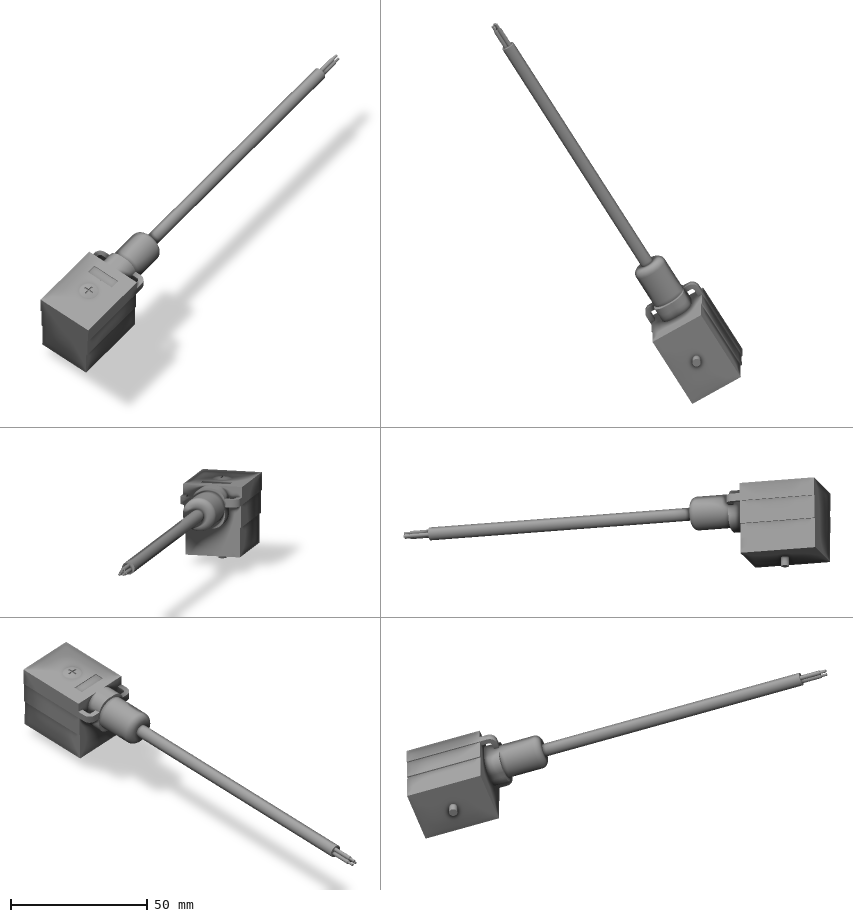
import cadquery as cq
import math


HOUSING_LENGTH = 28.5
HOUSING_TOP = 26.5
FRONT_DRAFT = 0.2
LOWER_WIDTH = 20.7
LOWER_TOP = 11.2
MIDDLE_WIDTH = 21.7
MIDDLE_TOP = 19.8
UPPER_WIDTH = 22.5

LABEL_WIDTH = 11.2
LABEL_LENGTH = 3.7
LABEL_CENTER_Y = 22.8
LABEL_DEPTH = 0.3

SCREW_Y = 14.4
SCREW_HEAD_DIAMETER = 7.3
SCREW_HEAD_RISE = 0.6
CROSS_LENGTH = 3.8
CROSS_WIDTH = 0.6
CROSS_DEPTH = SCREW_HEAD_RISE
SCREW_TIP_DIAMETER = 3.0
SCREW_TIP_LENGTH = 3.3

CABLE_AXIS_Z = 19.3
GLAND_DIAMETER = 12.5
GLAND_END_Y = 49.8
GLAND_FILLET = 2.4
COLLAR_END_Y = 34.3
COLLAR_BOTTOM = 11.5
COLLAR_FILLET = 5.0
LOOP_TOP = 22.6
LOOP_THICKNESS = 1.9
LOOP_OUTER_RADIUS = 2.9
LOOP_INNER_RADIUS = LOOP_OUTER_RADIUS - LOOP_THICKNESS

CABLE_DIAMETER = 4.8
SHEATH_END_Y = 149.8
WIRE_COUNT = 3
WIRE_DIAMETER = 1.52
WIRE_CIRCLE_RADIUS = 0.9
INSULATION_END_Y = 157.3
CONDUCTOR_DIAMETER = 1.0
TOTAL_LENGTH = 159.5


def block(width, y_start, y_end, z_start, z_end):
    """Box centred on X = 0."""
    return (
        cq.Workplane("XY")
        .box(width, y_end - y_start, z_end - z_start, centered=(True, False, False))
        .translate((0, y_start, z_start))
    )


def rod(diameter, y_start, y_end, x=0, z=CABLE_AXIS_Z):
    """Round bar parallel to Y."""
    axis = cq.Vector(0, 1, 0)
    start = cq.Vector(x, y_start, z)
    return cq.Workplane(cq.Solid.makeCylinder(diameter / 2, y_end - y_start, start, axis))


def make_housing():
    lower = block(LOWER_WIDTH, 0, HOUSING_LENGTH, 0, LOWER_TOP)
    middle = block(MIDDLE_WIDTH, 0, HOUSING_LENGTH, LOWER_TOP, MIDDLE_TOP)
    upper = block(UPPER_WIDTH, 0, HOUSING_LENGTH, MIDDLE_TOP, HOUSING_TOP)
    front_wedge = (
        cq.Workplane("YZ")
        .polyline([(0, 0), (FRONT_DRAFT, HOUSING_TOP), (0, HOUSING_TOP)])
        .close()
        .extrude(UPPER_WIDTH / 2, both=True)
    )
    label = block(
        LABEL_WIDTH,
        LABEL_CENTER_Y - LABEL_LENGTH / 2,
        LABEL_CENTER_Y + LABEL_LENGTH / 2,
        HOUSING_TOP - LABEL_DEPTH,
        HOUSING_TOP,
    )
    return lower.union(middle).union(upper).cut(front_wedge).cut(label)


def make_screw_head():
    """Shallow dome with a cross slot, sitting on the top face."""
    crown = HOUSING_TOP + SCREW_HEAD_RISE
    head_radius = SCREW_HEAD_DIAMETER / 2
    dome_radius = (head_radius**2 + SCREW_HEAD_RISE**2) / (2 * SCREW_HEAD_RISE)
    half_angle = math.asin(head_radius / dome_radius) / 2
    arc_middle = (dome_radius * math.sin(half_angle), crown - dome_radius * (1 - math.cos(half_angle)))
    head = (
        cq.Workplane("XZ", origin=(0, SCREW_Y, 0))
        .moveTo(0, HOUSING_TOP)
        .lineTo(head_radius, HOUSING_TOP)
        .threePointArc(arc_middle, (0, crown))
        .close()
        .revolve(360, (0, 0), (0, 1))
    )
    for x_size, y_size in ((CROSS_LENGTH, CROSS_WIDTH), (CROSS_WIDTH, CROSS_LENGTH)):
        slot = block(x_size, SCREW_Y - y_size / 2, SCREW_Y + y_size / 2, crown - CROSS_DEPTH, crown)
        head = head.cut(slot)
    return head


def make_screw_tip():
    return (
        cq.Workplane("XY", origin=(0, SCREW_Y, 0))
        .circle(SCREW_TIP_DIAMETER / 2)
        .extrude(-SCREW_TIP_LENGTH)
    )


def make_gland():
    barrel = rod(GLAND_DIAMETER, COLLAR_END_Y, GLAND_END_Y).faces(">Y").edges().fillet(GLAND_FILLET)
    collar = (
        block(GLAND_DIAMETER, HOUSING_LENGTH, COLLAR_END_Y, COLLAR_BOTTOM, HOUSING_TOP)
        .edges("|Y")
        .fillet(COLLAR_FILLET)
    )
    return barrel.union(collar)


def make_loop():
    """Flat rounded strap projecting from the rear of the upper band."""
    outer = (
        block(UPPER_WIDTH, HOUSING_LENGTH, COLLAR_END_Y, MIDDLE_TOP, LOOP_TOP)
        .edges("|Z and >Y")
        .fillet(LOOP_OUTER_RADIUS)
    )
    opening = (
        block(
            UPPER_WIDTH - 2 * LOOP_THICKNESS,
            HOUSING_LENGTH,
            COLLAR_END_Y - LOOP_THICKNESS,
            MIDDLE_TOP,
            LOOP_TOP,
        )
        .edges("|Z and >Y")
        .fillet(LOOP_INNER_RADIUS)
    )
    return outer.cut(opening)


def make_cable():
    cable = rod(CABLE_DIAMETER, GLAND_END_Y, SHEATH_END_Y)
    for i in range(WIRE_COUNT):
        angle = math.pi / 2 + 2 * math.pi * i / WIRE_COUNT
        x = WIRE_CIRCLE_RADIUS * math.cos(angle)
        z = CABLE_AXIS_Z + WIRE_CIRCLE_RADIUS * math.sin(angle)
        cable = cable.union(rod(WIRE_DIAMETER, SHEATH_END_Y, INSULATION_END_Y, x, z))
        cable = cable.union(rod(CONDUCTOR_DIAMETER, INSULATION_END_Y, TOTAL_LENGTH, x, z))
    return cable


result = (
    make_housing()
    .union(make_screw_head())
    .union(make_screw_tip())
    .union(make_gland())
    .union(make_loop())
    .union(make_cable())
)